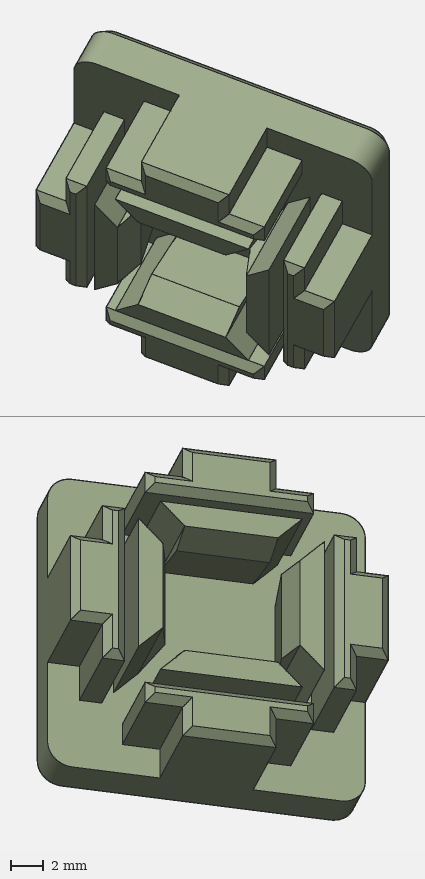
import cadquery as cq

cap_width = 20.0
cap_thickness = 3.0
corner_radius = 1.55
edge_chamfer = 0.5

arm_count = 4
arm_length = 6.0
arm_half_width = 2.95

crossbar_inner = 6.6
crossbar_outer = 8.0
crossbar_half_width = 5.3

post_outer = 5.85
post_depth = 1.52
post_inner = post_outer - post_depth
post_outer_half_width = arm_half_width + post_depth

ridge_height = 0.65
ridge_from_tip = 2.0


def make_cap():
    """Rounded square plate with a chamfered outer face; its inner face lies at Y = 0."""
    cap = cq.Workplane("XZ").rect(cap_width, cap_width).extrude(-cap_thickness)
    cap = cap.edges("|Y").fillet(corner_radius)
    return cap.faces(">Y").chamfer(edge_chamfer)


def make_hook():
    """T-shaped hook on the +Z side, chamfered all round its tip."""
    right_half = [
        (crossbar_half_width, crossbar_inner),
        (crossbar_half_width, crossbar_outer),
        (arm_half_width, crossbar_outer),
        (arm_half_width, cap_width / 2),
    ]
    left_half = [(-x, z) for x, z in reversed(right_half)]
    hook = cq.Workplane("XZ").polyline(right_half + left_half).close().extrude(arm_length)
    return hook.faces("<Y").chamfer(edge_chamfer)


def make_post():
    """Trapezoidal post on the +Z side, narrowing towards the middle of the cap."""
    outline = [
        (-post_outer_half_width, post_outer),
        (post_outer_half_width, post_outer),
        (arm_half_width, post_inner),
        (-arm_half_width, post_inner),
    ]
    return cq.Workplane("XZ").polyline(outline).close().extrude(arm_length)


def make_ridge():
    """Triangular ridge along X; its section also fills the post behind it for a sound joint."""
    section = [
        (0, post_outer),
        (0, post_inner),
        (ridge_from_tip - arm_length, post_inner - ridge_height),
        (-arm_length, post_inner),
        (-arm_length, post_outer),
    ]
    return cq.Workplane("YZ").polyline(section).close().extrude(arm_half_width, both=True)


arm = make_hook().union(make_post().union(make_ridge()))

result = make_cap()
for index in range(arm_count):
    turn = index * 360 / arm_count
    result = result.union(arm.rotate((0, 0, 0), (0, 1, 0), turn))
result = result.clean()